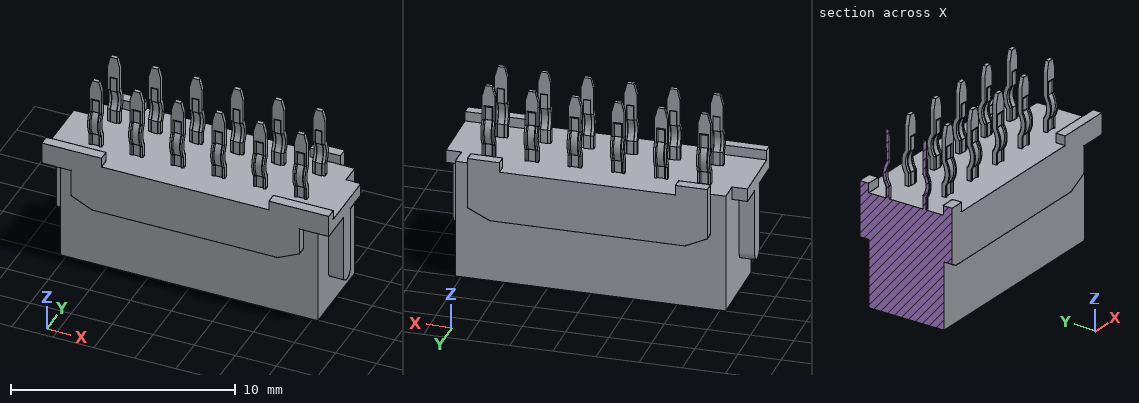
import math
import cadquery as cq

housing_width = 12.55
housing_front = -2.05
housing_back = 2.0
housing_top = 5.71

overall_width = 14.0
panel_outer_y = 2.5
panel_width = 11.13
panel_bottom = 3.235
panel_corner_rise = 0.5
panel_corner_run = 1.04
rail_thickness = 0.5
rail_top = 6.18
rail_inner_x = 4.08

flange_bottom = 5.09
flange_back = 1.03
key_width = 0.8
key_y = -0.5
key_bottom = 1.51

pin_columns = 6
pin_pitch = 2.0
row_offset = 1.0
pin_width = 0.6
pin_thickness = 0.21
pin_top = 9.2
pin_tip_width = 0.34
pin_tip_length = 0.5
pin_embed = 0.3
pin_bottom = housing_top - pin_embed

bend_z = 6.89
bend_half_height = 0.6
bend_rise = 0.17
pin_outer = pin_thickness / 2
pin_inner = -pin_thickness / 2
bend_radius = (bend_half_height**2 + bend_rise**2) / (2 * bend_rise)
bend_axis = pin_outer + bend_rise - bend_radius

groove_depth = 0.05
groove_floor_width = 0.32
groove_mouth_width = 0.42
groove_end_z = 8.2
groove_end_slope = 0.08
rib_height = 0.04
rib_top = groove_end_z - groove_end_slope

clearance = 0.3


def box(x_min, x_max, y_min, y_max, z_min, z_max):
    """Axis-aligned box given by its limits."""
    size = (x_max - x_min, y_max - y_min, z_max - z_min)
    return cq.Workplane("XY").box(*size, centered=False).translate((x_min, y_min, z_min))


def make_panel(y_min, y_max):
    """Face panel with slanted lower corners."""
    half = panel_width / 2
    corner_z = panel_bottom + panel_corner_rise
    flat_half = half - panel_corner_run
    outline = [
        (-half, housing_top),
        (-half, corner_z),
        (-flat_half, panel_bottom),
        (flat_half, panel_bottom),
        (half, corner_z),
        (half, housing_top),
    ]
    return cq.Workplane("XZ", origin=(0, y_max, 0)).polyline(outline).close().extrude(y_max - y_min)


def make_rails(outer_x, y_min, z_min):
    """Pair of raised rails, mirrored about the middle of the connector."""
    y_max = y_min + rail_thickness
    left = box(-outer_x, -rail_inner_x, y_min, y_max, z_min, rail_top)
    right = box(rail_inner_x, outer_x, y_min, y_max, z_min, rail_top)
    return left.union(right)


def make_key():
    """Key rib through both ends, rounded at its lower end."""
    radius = key_width / 2
    arc_z = key_bottom + radius
    return (
        cq.Workplane("YZ")
        .moveTo(key_y - radius, housing_top)
        .lineTo(key_y - radius, arc_z)
        .threePointArc((key_y, key_bottom), (key_y + radius, arc_z))
        .lineTo(key_y + radius, housing_top)
        .close()
        .extrude(overall_width / 2, both=True)
    )


def make_housing():
    half = overall_width / 2
    block = box(-housing_width / 2, housing_width / 2, housing_front, housing_back, 0, housing_top)
    flange = box(-half, half, -panel_outer_y, flange_back, flange_bottom, housing_top)
    front_rails = make_rails(half, -panel_outer_y, flange_bottom)
    back_rails = make_rails(panel_width / 2, panel_outer_y - rail_thickness, flange_bottom)
    return (
        block.union(make_panel(-panel_outer_y, housing_front))
        .union(make_panel(housing_back, panel_outer_y))
        .union(flange)
        .union(make_key())
        .union(front_rails)
        .union(back_rails)
    )


def bent_strip(outer, inner, width, top):
    """Strip between two offsets from the pin mid-plane, following the outward (+Y) bend."""

    def kink(offset):
        radius = bend_radius + offset - pin_outer
        return math.sqrt(radius**2 - (offset - bend_axis)**2)

    def crest(offset):
        return offset + bend_rise

    def half_arc_mid(offset, side):
        radius = bend_radius + offset - pin_outer
        angle = math.asin(kink(offset) / radius) / 2
        return (bend_axis + radius * math.cos(angle), bend_z + side * radius * math.sin(angle))

    return (
        cq.Workplane("YZ")
        .moveTo(outer, pin_bottom)
        .lineTo(outer, bend_z - kink(outer))
        .threePointArc(half_arc_mid(outer, -1), (crest(outer), bend_z))
        .threePointArc(half_arc_mid(outer, 1), (outer, bend_z + kink(outer)))
        .lineTo(outer, top)
        .lineTo(inner, top)
        .lineTo(inner, bend_z + kink(inner))
        .threePointArc(half_arc_mid(inner, 1), (crest(inner), bend_z))
        .threePointArc(half_arc_mid(inner, -1), (inner, bend_z - kink(inner)))
        .lineTo(inner, pin_bottom)
        .close()
        .extrude(width / 2, both=True)
    )


def make_tip_envelope():
    """Front outline of a pin, narrowing toward its tip."""
    half = pin_width / 2
    tip_half = pin_tip_width / 2
    taper_z = pin_top - pin_tip_length
    outline = [
        (-half, pin_bottom),
        (half, pin_bottom),
        (half, taper_z),
        (tip_half, pin_top),
        (-tip_half, pin_top),
        (-half, taper_z),
    ]
    return cq.Workplane("XZ").polyline(outline).close().extrude(pin_width, both=True)


def groove_section(workplane, face):
    """Groove cross-section with sloped sides, sunk below the given face and open above it."""
    floor_half = groove_floor_width / 2
    mouth_half = groove_mouth_width / 2
    outline = [
        (-floor_half, face - groove_depth),
        (floor_half, face - groove_depth),
        (mouth_half, face),
        (mouth_half, face + clearance),
        (-mouth_half, face + clearance),
        (-mouth_half, face),
    ]
    return workplane.polyline(outline).close()


def make_groove_cutters():
    """Cutters for the groove: straight above and below the bend, turned around it."""
    bend_low = bend_z - bend_half_height
    bend_high = bend_z + bend_half_height
    lower = groove_section(cq.Workplane("XY", origin=(0, 0, pin_bottom)), pin_outer)
    lower = lower.extrude(bend_low - pin_bottom)
    upper = groove_section(cq.Workplane("XY", origin=(0, 0, bend_high)), pin_outer)
    upper = upper.extrude(groove_end_z - bend_high)
    end_slope = (
        cq.Workplane("YZ")
        .moveTo(pin_outer - groove_depth, groove_end_z - groove_end_slope)
        .lineTo(pin_outer, groove_end_z)
        .lineTo(pin_outer - groove_depth, groove_end_z)
        .close()
        .extrude(groove_mouth_width / 2, both=True)
    )
    ring = groove_section(cq.Workplane("XY", origin=(0, bend_axis, bend_z)), bend_radius)
    ring = ring.revolve(360, (0, 0, 0), (1, 0, 0))
    bend_zone = box(-pin_width, pin_width, bend_axis, pin_outer + bend_rise + clearance, bend_low, bend_high)
    return lower, upper.cut(end_slope), ring.intersect(bend_zone)


def make_pin():
    """One pin bending toward +Y, its straight stretches centred on x = 0, y = 0."""
    pin = bent_strip(pin_outer, pin_inner, pin_width, pin_top).intersect(make_tip_envelope())
    for cutter in make_groove_cutters():
        pin = pin.cut(cutter)
    rib = bent_strip(0, pin_inner - rib_height, groove_floor_width, rib_top)
    return pin.union(rib)


result = make_housing()
back_pin = make_pin().translate((0, row_offset, 0))
front_pin = back_pin.mirror("XZ")
for column in range(pin_columns):
    pin_x = (column - (pin_columns - 1) / 2) * pin_pitch
    result = result.union(back_pin.translate((pin_x, 0, 0)))
    result = result.union(front_pin.translate((pin_x, 0, 0)))